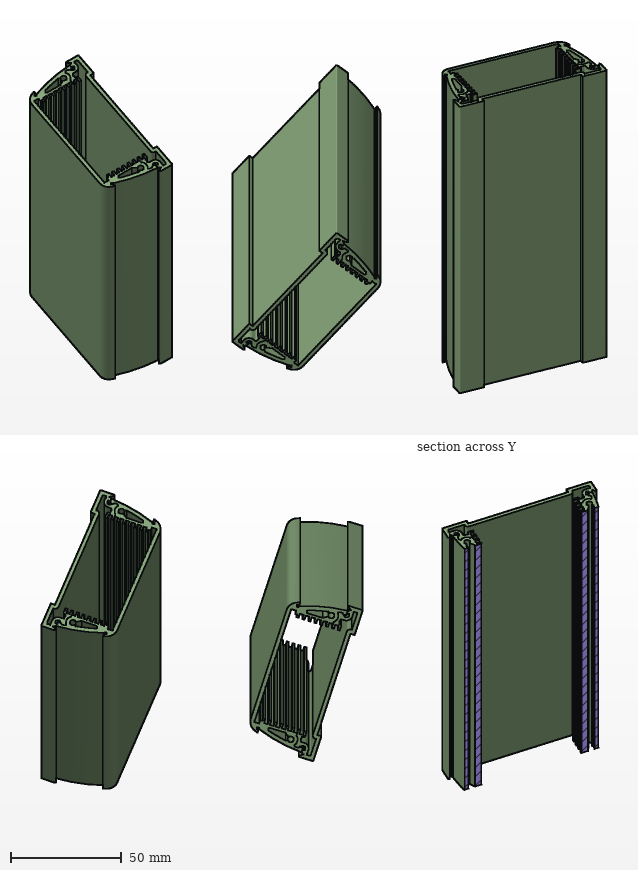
import cadquery as cq
import math

LENGTH = 150.0
HALF_WIDTH = 74.0 / 2
HALF_DEPTH = 32.8 / 2
WALL = 2.0

FIN_COUNT = 8
COVER_FIN_COUNT = 2
FIN_THICKNESS = 1.0
FIRST_FIN_Y = 8.8
LAST_FIN_Y = -10.6
FIN_PITCH = (FIRST_FIN_Y - LAST_FIN_Y) / (FIN_COUNT - 1)
FIN_TIP_X = 24.8
INNER_FACE_X = 26.7
FIN_Y = [FIRST_FIN_Y - i * FIN_PITCH for i in range(FIN_COUNT)]
TOP_FIN_UPPER_Y = FIN_Y[0] + FIN_THICKNESS / 2
SPLIT_Y = FIN_Y[COVER_FIN_COUNT - 1] - FIN_THICKNESS / 2

SCREW_X, SCREW_Y = 30.3, 3.6
SCREW_RADIUS = 1.4
HALF_THROAT = 0.8
SADDLE_RADIUS = 3.2
SADDLE_INNER_X = SCREW_X - math.sqrt(SADDLE_RADIUS**2 - (SPLIT_Y - SCREW_Y) ** 2)
SADDLE_INNER = (SADDLE_INNER_X, SPLIT_Y)
SADDLE_TOP = (SCREW_X, SCREW_Y + SADDLE_RADIUS)

SEAT_X = 33.0
TOE_RADIUS = 0.8
TOE_X = SEAT_X - TOE_RADIUS
TOE_Y = SCREW_Y + math.sqrt(SADDLE_RADIUS**2 - (TOE_X - SCREW_X) ** 2)
TOE_END = (TOE_X, TOE_Y)
TOE_MID = (TOE_X + TOE_RADIUS * math.sin(math.pi / 4), TOE_Y + TOE_RADIUS * (1 - math.cos(math.pi / 4)))
TOE_START = (SEAT_X, TOE_Y + TOE_RADIUS)

CURL_X, CURL_Y = 32.7, 10.0
CURL_INNER_RADIUS = 1.2
CURL_OUTER_RADIUS = 2.7

POST_TOP_Y = CURL_Y
HEAD_INNER_X = 32.4
CATCH_SUM = CURL_X + CURL_Y - CURL_INNER_RADIUS * math.sqrt(2)
HEAD_CATCH = (HEAD_INNER_X, CATCH_SUM - HEAD_INNER_X)
SEAT_CATCH = (SEAT_X, CATCH_SUM - SEAT_X)

PLATE_TOP_Y = HALF_DEPTH - WALL
PLATE_BOTTOM_Y = PLATE_TOP_Y - WALL
STEP_ROUND = 1.5
POCKET_ROUND = 0.8
RIM_INNER_X = HALF_WIDTH - WALL
RIM_ROUND = 0.5
RIM_END_Y = 10.0
RIM_TIP = (36.5, 9.3)
RIM_NOTCH = (35.2, 11.4)
STOP_SIDE = (35.1, 10.6)
STOP_OUTER_X = 34.4
STOP_INNER_X = 33.3
SHELF_Y = 8.1
SHELF_END_X = 27.6
SHELF_ROUND = 0.6
TOP_FIN_CHAMFER = 0.5

SIDE_RADIUS = 75.0
SIDE_CENTRE_X, SIDE_CENTRE_Y = -40.2, 14.7
SIDE_WALL = 2.1
SIDE_BOTTOM_Y = -11.2

HOLLOW_INNER_X = 28.0
HOLLOW_TOP_Y = 1.6
HOLLOW_SHOULDER_Y = 0.3
HOLLOW_END_Y = -6.9
HOLLOW_BOTTOM_Y = -7.5

FLOOR_Y = -HALF_DEPTH + WALL
CORNER_RADIUS = 5.1
CORNER_X = 26.5
CORNER_END_Y = -13.2
LIP_TIP = (32.0, -11.5)
LIP_TOP = (31.0, -11.5)
GROOVE_OUTER = (30.5, -12.0)
GROOVE_BOTTOM = (29.8, -12.6)
GROOVE_INNER = (29.5, -11.8)
SLOT_OUTER_X = 27.6
SLOT_TOP_Y = -12.2
LEDGE_X = 26.0


def on_circle(x, y, radius, degrees):
    """Point of a circle at an angle measured from +X."""
    angle = math.radians(degrees)
    return (x + radius * math.cos(angle), y + radius * math.sin(angle))


def side_point(y, inset=0.0):
    """Point of the bowed side at the given Y, moved inward by inset."""
    reach = math.sqrt(SIDE_RADIUS**2 - (y - SIDE_CENTRE_Y) ** 2)
    return (SIDE_CENTRE_X + reach - inset, y)


def extrude(outline):
    return outline.close().extrude(LENGTH)


def profile_start(x, y):
    return cq.Workplane("XY", origin=(0, 0, -LENGTH / 2)).moveTo(x, y)


def add_fins(half, fin_positions):
    """Join one straight fin to the inner face at each given Y."""
    for y in fin_positions:
        fin = (
            cq.Workplane("XY")
            .box(INNER_FACE_X - FIN_TIP_X, FIN_THICKNESS, LENGTH)
            .translate(((INNER_FACE_X + FIN_TIP_X) / 2, y, 0))
        )
        half = half.union(fin)
    return half


def mirrored(half):
    return half.union(half.mirror("YZ")).clean().solids()


def hollow():
    """Open screw channel and the tapering hollow below it."""
    throat_y = SCREW_Y - math.sqrt(SCREW_RADIUS**2 - HALF_THROAT**2)
    outer_end = side_point(HOLLOW_END_Y, SIDE_WALL)
    outline = (
        profile_start(SCREW_X - HALF_THROAT, throat_y)
        .threePointArc((SCREW_X, SCREW_Y + SCREW_RADIUS), (SCREW_X + HALF_THROAT, throat_y))
        .lineTo(*side_point(HOLLOW_TOP_Y, SIDE_WALL))
        .threePointArc(side_point((HOLLOW_TOP_Y + HOLLOW_END_Y) / 2, SIDE_WALL), outer_end)
        .threePointArc(((outer_end[0] + HOLLOW_INNER_X) / 2, HOLLOW_BOTTOM_Y), (HOLLOW_INNER_X, HOLLOW_END_Y))
        .lineTo(HOLLOW_INNER_X, HOLLOW_SHOULDER_Y)
    )
    return extrude(outline)


def make_trough():
    corner_y = -HALF_DEPTH + CORNER_RADIUS
    corner_angle = math.degrees(math.asin((CORNER_END_Y - corner_y) / CORNER_RADIUS))
    outline = (
        profile_start(0, -HALF_DEPTH)
        .lineTo(CORNER_X, -HALF_DEPTH)
        .threePointArc(
            on_circle(CORNER_X, corner_y, CORNER_RADIUS, (corner_angle - 90) / 2),
            on_circle(CORNER_X, corner_y, CORNER_RADIUS, corner_angle),
        )
        .lineTo(*LIP_TIP)
        .lineTo(*LIP_TOP)
        .lineTo(*GROOVE_OUTER)
        .threePointArc(GROOVE_BOTTOM, GROOVE_INNER)
        .lineTo(*side_point(SIDE_BOTTOM_Y))
        .threePointArc(side_point((SIDE_BOTTOM_Y + POST_TOP_Y) / 2), side_point(POST_TOP_Y))
        .lineTo(HEAD_INNER_X, POST_TOP_Y)
        .lineTo(*HEAD_CATCH)
        .lineTo(*SEAT_CATCH)
        .lineTo(*TOE_START)
        .threePointArc(TOE_MID, TOE_END)
        .threePointArc(SADDLE_TOP, SADDLE_INNER)
        .lineTo(INNER_FACE_X, SPLIT_Y)
        .lineTo(INNER_FACE_X, LAST_FIN_Y)
        .lineTo(LEDGE_X, LAST_FIN_Y)
        .lineTo(LEDGE_X, SLOT_TOP_Y)
        .lineTo(SLOT_OUTER_X, SLOT_TOP_Y)
        .lineTo(SLOT_OUTER_X, FLOOR_Y)
        .lineTo(0, FLOOR_Y)
    )
    half = extrude(outline).cut(hollow())
    return mirrored(add_fins(half, FIN_Y[COVER_FIN_COUNT:]))


def make_cover():
    stop_rise = math.sqrt(CURL_INNER_RADIUS**2 - (STOP_INNER_X - CURL_X) ** 2)
    curl_inner_x = CURL_X - CURL_OUTER_RADIUS
    shelf_bend = (curl_inner_x - SHELF_ROUND, SHELF_Y + SHELF_ROUND)
    outline = (
        profile_start(0, PLATE_TOP_Y)
        .lineTo(FIN_TIP_X, PLATE_TOP_Y)
        .lineTo(FIN_TIP_X, HALF_DEPTH)
        .lineTo(HALF_WIDTH - RIM_ROUND, HALF_DEPTH)
        .tangentArcPoint((HALF_WIDTH, HALF_DEPTH - RIM_ROUND), relative=False)
        .lineTo(HALF_WIDTH, RIM_END_Y)
        .tangentArcPoint(RIM_TIP, relative=False)
        .lineTo(*RIM_NOTCH)
        .lineTo(*STOP_SIDE)
        .lineTo(STOP_OUTER_X, POST_TOP_Y)
        .lineTo(STOP_INNER_X, POST_TOP_Y)
        .lineTo(STOP_INNER_X, CURL_Y + stop_rise)
        .threePointArc(
            on_circle(CURL_X, CURL_Y, CURL_INNER_RADIUS, 135),
            on_circle(CURL_X, CURL_Y, CURL_INNER_RADIUS, 225),
        )
        .lineTo(*SEAT_CATCH)
        .lineTo(*TOE_START)
        .threePointArc(TOE_MID, TOE_END)
        .threePointArc(SADDLE_TOP, SADDLE_INNER)
        .lineTo(INNER_FACE_X, SPLIT_Y)
        .lineTo(INNER_FACE_X, TOP_FIN_UPPER_Y)
        .lineTo(SHELF_END_X - TOP_FIN_CHAMFER, TOP_FIN_UPPER_Y)
        .lineTo(SHELF_END_X, TOP_FIN_UPPER_Y - TOP_FIN_CHAMFER)
        .lineTo(SHELF_END_X, SHELF_Y)
        .lineTo(curl_inner_x - SHELF_ROUND, SHELF_Y)
        .threePointArc(on_circle(*shelf_bend, SHELF_ROUND, -45), (curl_inner_x, SHELF_Y + SHELF_ROUND))
        .lineTo(curl_inner_x, CURL_Y)
        .threePointArc(on_circle(CURL_X, CURL_Y, CURL_OUTER_RADIUS, 135), (CURL_X, CURL_Y + CURL_OUTER_RADIUS))
        .lineTo(RIM_INNER_X, CURL_Y + CURL_OUTER_RADIUS)
        .lineTo(RIM_INNER_X, PLATE_TOP_Y - POCKET_ROUND)
        .tangentArcPoint((RIM_INNER_X - POCKET_ROUND, PLATE_TOP_Y), relative=False)
        .lineTo(INNER_FACE_X, PLATE_TOP_Y)
        .lineTo(INNER_FACE_X, PLATE_BOTTOM_Y + STEP_ROUND)
        .tangentArcPoint((INNER_FACE_X - STEP_ROUND, PLATE_BOTTOM_Y), relative=False)
        .lineTo(0, PLATE_BOTTOM_Y)
    )
    return mirrored(add_fins(extrude(outline), FIN_Y[:COVER_FIN_COUNT]))


trough = make_trough()
cover = make_cover()
result = cq.Compound.makeCompound([trough.val(), cover.val()])